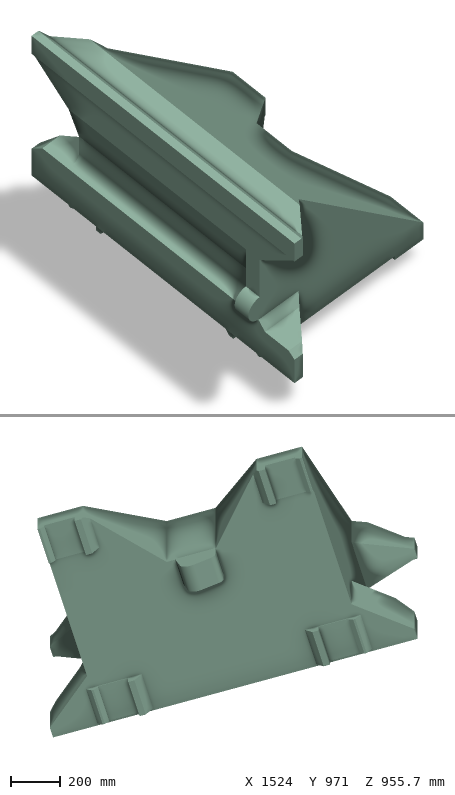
import cadquery as cq


half_length = 762.0
half_body = 553.0
depth = 914.0
height = 853.0

wing_edge_depth = 45.0
wing_root_depth = 222.0
notch_floor_y = 615.0
notch_floor_half = 102.0
notch_mouth_half = 362.0

back_wall_height = 79.0
shelf_height = 820.0
shelf_back_y = 177.0
lip_width = 38.0
lip_foot_y = lip_width + height - shelf_height

waist_top_z = 573.0
upper_wing_z = 743.0
base_height = 218.0
left_chamfer_x = 699.0
left_chamfer_z = 163.0
right_shoulder_z = 213.0
right_ledge_inner_x = 591.0
right_ledge_outer_x = 728.0
right_ledge_z = 170.0
right_chamfer_z = 143.0

relief_depth = 6.0
channel_right_x = 474.0
channel_depth = 62.0
channel_knee_z = 364.0
channel_fillet = 37.0
roller_radius = 67.0
roller_y = 10.0
roller_z = 280.0

foot_width = 158.0
front_foot_y = 9.0
foot_outer_x = 574.0
foot_toe_outer_x = 551.0
foot_toe_inner_x = 542.0
foot_step_x = 524.0
foot_heel_outer_x = 398.0
foot_heel_inner_x = 372.0
foot_inner_x = 341.0
foot_toe_z = -25.0
foot_step_z = -12.0
foot_web_z = -5.0
foot_heel_z = -40.0

peg_front_y = 503.0
peg_width = 115.0
peg_left_x = -102.0
peg_right_x = 67.0
peg_left_z = -75.0
peg_tip_x = 35.0
peg_tip_z = -113.0
peg_left_radius = 27.0
peg_tip_radius = 45.0


def prism_along_x(points, start, end):
    """Extrude a closed (Y, Z) outline from X = start to X = end."""
    return cq.Workplane("YZ", origin=(start, 0, 0)).polyline(points).close().extrude(end - start)


def prism_along_y(points, start, end):
    """Extrude a closed (X, Z) outline from Y = start to Y = end."""
    return cq.Workplane("XZ", origin=(0, start, 0)).polyline(points).close().extrude(start - end)


def mirrored(points):
    """Return the outline reflected about X = 0."""
    return [(-x, z) for x, z in points]


def plan_prism():
    right_side = [
        (half_length, 0),
        (half_length, wing_edge_depth),
        (half_body, wing_root_depth),
        (half_body, depth),
        (notch_mouth_half, depth),
        (notch_floor_half, notch_floor_y),
    ]
    outline = right_side + mirrored(right_side)[::-1]
    prism_bottom = 2 * foot_heel_z
    return (
        cq.Workplane("XY", origin=(0, 0, prism_bottom))
        .polyline(outline)
        .close()
        .extrude(height - prism_bottom)
    )


def wedge_body():
    side_outline = [
        (0, 0),
        (depth, 0),
        (depth, back_wall_height),
        (shelf_back_y, shelf_height),
        (lip_foot_y, shelf_height),
        (lip_width, height),
        (0, height),
    ]
    end_outline = [
        (-half_length, 0),
        (half_length, 0),
        (half_length, right_chamfer_z),
        (right_ledge_outer_x, right_ledge_z),
        (right_ledge_inner_x, right_ledge_z),
        (half_body, right_shoulder_z),
        (half_body, waist_top_z),
        (half_length, upper_wing_z),
        (half_length, height),
        (-half_length, height),
        (-half_length, upper_wing_z),
        (-half_body, waist_top_z),
        (-half_body, base_height),
        (-left_chamfer_x, base_height),
        (-half_length, left_chamfer_z),
    ]
    wedge = prism_along_x(side_outline, -half_length, half_length)
    return wedge.intersect(prism_along_y(end_outline, 0, depth))


def front_relief():
    return cq.Workplane("XY").box(
        2 * half_length, relief_depth, upper_wing_z - base_height, centered=(True, False, False)
    ).translate((0, 0, base_height))


def front_channel():
    """Channel with a sloping upper wall and a rounded floor corner, open at the left end."""
    return (
        cq.Workplane("YZ", origin=(-half_body, 0, 0))
        .moveTo(0, base_height)
        .lineTo(channel_depth - channel_fillet, base_height)
        .radiusArc((channel_depth, base_height + channel_fillet), -channel_fillet)
        .lineTo(channel_depth, channel_knee_z)
        .lineTo(relief_depth, waist_top_z)
        .lineTo(0, waist_top_z)
        .close()
        .extrude(half_body + channel_right_x)
    )


def end_roller():
    return (
        cq.Workplane("YZ", origin=(channel_right_x, 0, 0))
        .center(roller_y, roller_z)
        .circle(roller_radius)
        .extrude(half_body - channel_right_x)
    )


def feet():
    """Four hooked feet, a mirrored pair at the front and another at the back."""
    right_outline = [
        (foot_outer_x, 0),
        (foot_toe_outer_x, foot_toe_z),
        (foot_toe_inner_x, foot_toe_z),
        (foot_step_x, foot_step_z),
        (foot_step_x, foot_web_z),
        (foot_heel_outer_x, foot_web_z),
        (foot_heel_outer_x, foot_heel_z),
        (foot_heel_inner_x, foot_heel_z),
        (foot_inner_x, 0),
    ]
    all_feet = cq.Workplane("XY")
    for start_y in (front_foot_y, depth - foot_width):
        for outline in (right_outline, mirrored(right_outline)):
            all_feet = all_feet.add(prism_along_y(outline, start_y, start_y + foot_width))
    return all_feet.combine()


def locating_peg():
    outline = [
        (peg_left_x, 0),
        (peg_left_x, peg_left_z),
        (peg_tip_x, peg_tip_z),
        (peg_right_x, 0),
    ]
    peg = prism_along_y(outline, peg_front_y, peg_front_y + peg_width)
    tip_edge = peg.edges("|Y").edges("<Z")
    peg = tip_edge.fillet(peg_tip_radius)
    left_corner = cq.selectors.NearestToPointSelector((peg_left_x, peg_front_y + peg_width / 2, peg_left_z))
    return peg.edges(left_corner).fillet(peg_left_radius)


result = wedge_body().union(feet()).intersect(plan_prism())
result = result.cut(front_relief()).cut(front_channel())
result = result.union(end_roller()).union(locating_peg())